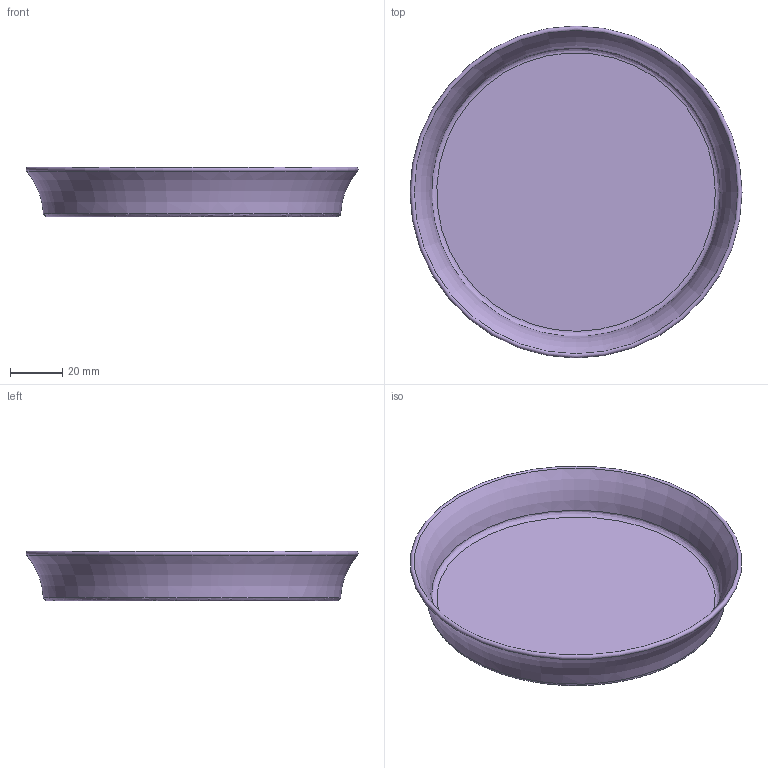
import cadquery as cq
import math

rim_diameter = 126.65
height = 18.9
base_diameter = 113.4
wall = 1.8
floor_thickness = wall
base_round = 1.5
floor_round = 2.0

rim_round = wall / 2
rim_center_r = rim_diameter / 2 - rim_round
rim_center_z = height - rim_round

middle_base_r = base_diameter / 2 - rim_round
flare_out = rim_center_r - middle_base_r
flare_angle = 2 * math.atan2(flare_out, rim_center_z)
middle_flare_radius = rim_center_z / math.sin(flare_angle)
outer_flare_radius = middle_flare_radius - rim_round
inner_flare_radius = middle_flare_radius + rim_round
flare_center_r = middle_base_r + middle_flare_radius
floor_angle = math.asin(floor_thickness / inner_flare_radius)


def flare_point(radius, angle):
    """Point (r, z) on a flare arc, at an angle measured up from the underside."""
    r = flare_center_r - radius * math.cos(angle)
    z = radius * math.sin(angle)
    return (r, z)


def make_dish():
    """Revolve the half section of floor, flared wall and rounded rim about Z."""
    rim_crest = (
        rim_center_r + rim_round * math.sin(flare_angle),
        rim_center_z + rim_round * math.cos(flare_angle),
    )
    section = (
        cq.Workplane("XZ")
        .lineTo(*flare_point(outer_flare_radius, 0))
        .threePointArc(
            flare_point(outer_flare_radius, flare_angle / 2),
            flare_point(outer_flare_radius, flare_angle),
        )
        .threePointArc(rim_crest, flare_point(inner_flare_radius, flare_angle))
        .threePointArc(
            flare_point(inner_flare_radius, (flare_angle + floor_angle) / 2),
            flare_point(inner_flare_radius, floor_angle),
        )
        .lineTo(0, floor_thickness)
        .close()
    )
    return section.revolve(360, (0, 0), (0, 1))


def round_corners(dish):
    """Round the underside edge and the inner corner around the floor."""
    dish = dish.faces("<Z").edges().fillet(base_round)
    return dish.faces("|Z").faces(">Z").edges().fillet(floor_round)


result = round_corners(make_dish())